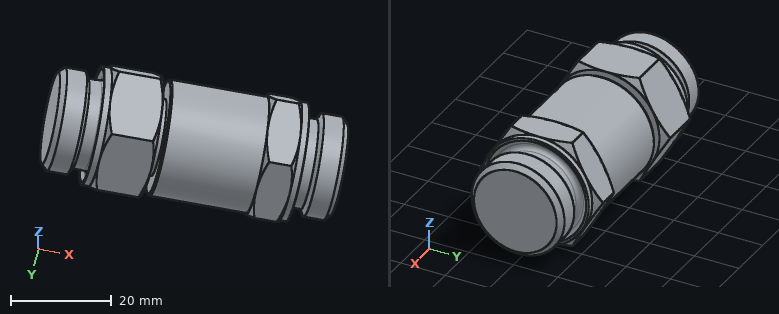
import cadquery as cq
import math

length = 58.5
across_flats = 24.0

thread_d = 20.95
stud_face_d = 18.6
stud_lead = 1.15
thread_end = 5.2
neck_d = 18.2
neck_start = 6.0
collar_start = 8.5
collar_width = 1.45
collar_end = collar_start + collar_width

recess_d = 22.8
recess_wall_angle = 55.0

hex_chamfer_angle = 30.0
left_hex_end = 20.5
right_hex_start = 41.9
spigot_d = 12.0
joint_x = 21.0
ring_d = 15.5
sleeve_start = 21.95
sleeve_d = 23.5
sleeve_chamfer = 0.35


def cylinder(diameter, start, end):
    """Solid cylinder along X between two stations."""
    return cq.Workplane("YZ", origin=(start, 0, 0)).circle(diameter / 2).extrude(end - start)


def stud_end():
    """Threaded stud, neck and collar with a sealing recess, end face at X = 0."""
    angle = math.radians(recess_wall_angle)
    neck_r = neck_d / 2
    recess_r = recess_d / 2
    floor_r = (recess_r - neck_r) / (1 + 1 / math.cos(angle))
    floor_center_r = neck_r + floor_r
    wall_foot = (collar_start + floor_r * math.sin(angle), floor_center_r + floor_r * math.cos(angle))
    half_turn = (math.pi - angle) / 2
    floor_mid = (
        collar_start + floor_r * math.sin(half_turn),
        floor_center_r - floor_r * math.cos(half_turn),
    )
    profile = (
        cq.Workplane("XY")
        .moveTo(0, 0)
        .lineTo(0, stud_face_d / 2)
        .lineTo(stud_lead, thread_d / 2)
        .lineTo(thread_end, thread_d / 2)
        .lineTo(neck_start, neck_r)
        .lineTo(collar_start, neck_r)
        .threePointArc(floor_mid, wall_foot)
        .lineTo(collar_start, recess_r)
        .lineTo(collar_start, across_flats / 2)
        .lineTo(collar_end, across_flats / 2)
        .lineTo(collar_end, 0)
        .close()
    )
    return profile.revolve(360, (0, 0, 0), (1, 0, 0))


def chamfered_hex(start, end):
    """Hexagon along X with corners on Y, both ends turned to a conical chamfer."""
    corner_d = across_flats / math.cos(math.pi / 6)
    flat_r = across_flats / 2
    corner_r = corner_d / 2
    run = (corner_r - flat_r) * math.tan(math.radians(hex_chamfer_angle))
    prism = cq.Workplane("YZ", origin=(start, 0, 0)).polygon(6, corner_d).extrude(end - start)
    envelope = (
        cq.Workplane("XY")
        .polyline([
            (start, 0),
            (start, flat_r),
            (start + run, corner_r),
            (end - run, corner_r),
            (end, flat_r),
            (end, 0),
        ])
        .close()
        .revolve(360, (0, 0, 0), (1, 0, 0))
    )
    return prism.intersect(envelope)


def make_swivel_stud():
    """Left body: stud end, hexagon and the short spigot that meets the housing."""
    spigot = cylinder(spigot_d, left_hex_end, joint_x)
    return stud_end().union(chamfered_hex(collar_end, left_hex_end)).union(spigot)


def make_housing():
    """Right body: bearing ring, sleeve, hexagon and the mirrored stud end."""
    right_hex_end = length - collar_end
    ring = cylinder(ring_d, joint_x, sleeve_start)
    sleeve = cylinder(sleeve_d, sleeve_start, right_hex_start).faces("<X").chamfer(sleeve_chamfer)
    right_stud = stud_end().mirror("YZ").translate((length, 0, 0))
    return ring.union(sleeve).union(chamfered_hex(right_hex_start, right_hex_end)).union(right_stud)


swivel_stud = make_swivel_stud()
housing = make_housing()

result = cq.Compound.makeCompound([swivel_stud.val(), housing.val()])